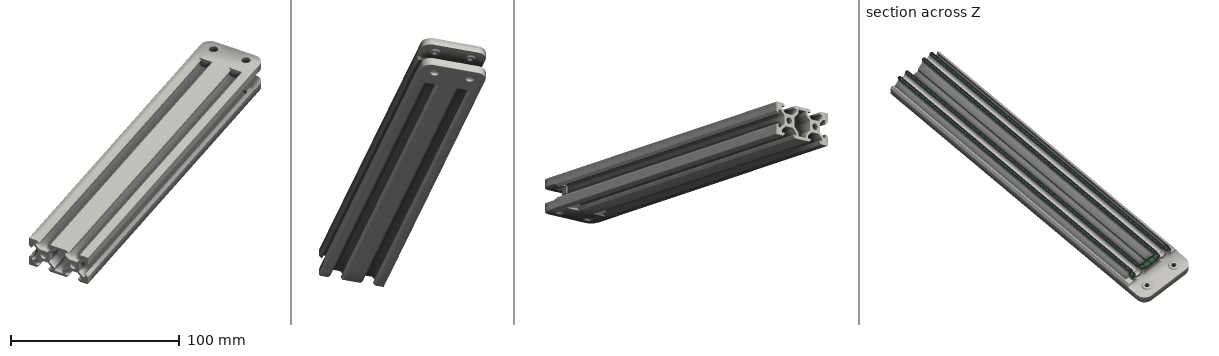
import cadquery as cq

TOTAL_LENGTH = 218.0
WIDTH = 40.0
HEIGHT = 20.0
BRACKET_LENGTH = 18.0
EDGE_FILLET = 0.5
RAIL_LENGTH = TOTAL_LENGTH - BRACKET_LENGTH

SLOT_PITCH = WIDTH / 2
SLOT_MOUTH = 9.2
SLOT_NECK = 6.3
SLOT_LIP = 1.8
SLOT_UNDERCUT = 11.0
SLOT_FLOOR = 5.7
SLOT_DEPTH = 6.0
VEE_DEPTH = (SLOT_MOUTH - SLOT_NECK) / 2
UNDERCUT_DEPTH = SLOT_DEPTH - (SLOT_UNDERCUT - SLOT_FLOOR) / 2

BORE_DIAMETER = 4.1
BORE_X = SLOT_PITCH / 2
CAVITY_WIDTH = 2 * SLOT_DEPTH
CAVITY_NARROW_WIDTH = 5.5
CAVITY_HEIGHT = HEIGHT - 2 * SLOT_LIP
CAVITY_SIDE_HEIGHT = SLOT_FLOOR

CORNER_RADIUS = 6.0
WEB_THICKNESS = 4.0
FORK_GAP = 10.0
FORK_FILLET = 2.0
SIDE_GROOVE_DEPTH = 4.5
RAIL_SCREW_HOLE = 5.2
RAIL_SCREW_HEAD = 9.0
RAIL_SCREW_SEAT_DEPTH = 1.0
PIVOT_X = 11.0
PIVOT_END_DISTANCE = 7.0
PIVOT_HOLE = 3.0
PIVOT_COUNTERBORE = 5.5
PIVOT_COUNTERBORE_DEPTH = 4.0
PIVOT_BOSS = 5.2
PIVOT_BOSS_BASE = 6.5
PIVOT_BOSS_HEIGHT = 0.7

PIVOT_Y = TOTAL_LENGTH - PIVOT_END_DISTANCE
WEB_END_Y = RAIL_LENGTH + WEB_THICKNESS


def extrude_along_y(sketch_points, start_y, length):
    """Closed XZ outline pushed from start_y toward +Y."""
    plane = cq.Workplane("XZ", origin=(0, start_y, 0))
    return plane.polyline(sketch_points).close().extrude(-length)


def y_cylinder(diameter, x, start_y, length):
    return cq.Workplane("XZ", origin=(x, start_y, 0)).circle(diameter / 2).extrude(-length)


def z_cylinder(diameter, x, start_z, length):
    return cq.Workplane("XY", origin=(x, PIVOT_Y, start_z)).circle(diameter / 2).extrude(length)


def mirrored_outline(right_side):
    """Right half of an outline, listed along its side, completed by its mirror image in X."""
    left_side = [(-x, z) for x, z in reversed(right_side)]
    return right_side + left_side


def top_slot(x):
    """Undercut V-slot opening upward, centred at x."""
    top = HEIGHT / 2
    outline = mirrored_outline([
        (SLOT_MOUTH / 2, top),
        (SLOT_NECK / 2, top - VEE_DEPTH),
        (SLOT_NECK / 2, top - SLOT_LIP),
        (SLOT_UNDERCUT / 2, top - SLOT_LIP),
        (SLOT_UNDERCUT / 2, top - UNDERCUT_DEPTH),
        (SLOT_FLOOR / 2, top - SLOT_DEPTH),
    ])
    return extrude_along_y(outline, 0, RAIL_LENGTH).translate((x, 0, 0))


def side_slot():
    """The same V-slot turned to open through the +X side."""
    quarter_turn = top_slot(0).rotate((0, 0, 0), (0, 1, 0), 90)
    return quarter_turn.translate((WIDTH / 2 - HEIGHT / 2, 0, 0))


def central_cavity():
    half_height = CAVITY_HEIGHT / 2
    half_side = CAVITY_SIDE_HEIGHT / 2
    shoulder_z = half_side + (CAVITY_WIDTH - CAVITY_NARROW_WIDTH) / 2
    outline = mirrored_outline([
        (CAVITY_NARROW_WIDTH / 2, half_height),
        (CAVITY_NARROW_WIDTH / 2, shoulder_z),
        (CAVITY_WIDTH / 2, half_side),
        (CAVITY_WIDTH / 2, -half_side),
        (CAVITY_NARROW_WIDTH / 2, -shoulder_z),
        (CAVITY_NARROW_WIDTH / 2, -half_height),
    ])
    return extrude_along_y(outline, 0, RAIL_LENGTH)


def make_rail():
    rail = cq.Workplane("XY").box(WIDTH, RAIL_LENGTH, HEIGHT, centered=(True, False, True))
    rail = rail.edges("|Y").fillet(EDGE_FILLET)
    rail = rail.cut(central_cavity())
    rail = rail.cut(side_slot()).cut(side_slot().mirror("YZ"))
    for x in (-BORE_X, BORE_X):
        rail = rail.cut(top_slot(x)).cut(top_slot(x).mirror("XY"))
        rail = rail.cut(y_cylinder(BORE_DIAMETER, x, 0, RAIL_LENGTH))
    return rail


def fork_opening():
    """Gap between the two plates, rounded where it meets the web."""
    length = TOTAL_LENGTH - WEB_END_Y
    opening = cq.Workplane("XY", origin=(0, WEB_END_Y, 0))
    opening = opening.box(WIDTH, length, FORK_GAP, centered=(True, False, True))
    return opening.edges("|X and <Y").fillet(FORK_FILLET)


def side_groove():
    """V-groove on the +X side that continues the rail slot through the web."""
    side = WIDTH / 2
    outline = [
        (side, SLOT_MOUTH / 2),
        (side - VEE_DEPTH, SLOT_NECK / 2),
        (side - SIDE_GROOVE_DEPTH, SLOT_NECK / 2),
        (side - SIDE_GROOVE_DEPTH, -SLOT_NECK / 2),
        (side - VEE_DEPTH, -SLOT_NECK / 2),
        (side, -SLOT_MOUTH / 2),
    ]
    return extrude_along_y(outline, RAIL_LENGTH, BRACKET_LENGTH)


def rail_screw_hole(x):
    """Clearance hole through the web, with a round head seat cut through the fork fillets."""
    hole = y_cylinder(RAIL_SCREW_HOLE, x, RAIL_LENGTH, WEB_THICKNESS)
    seat_y = WEB_END_Y - RAIL_SCREW_SEAT_DEPTH
    seat = y_cylinder(RAIL_SCREW_HEAD, x, seat_y, RAIL_SCREW_SEAT_DEPTH + FORK_FILLET)
    return hole.union(seat)


def pivot_boss(x):
    """Low tapered pad on the inner face of the upper plate."""
    base = cq.Workplane("XY", origin=(x, PIVOT_Y, FORK_GAP / 2))
    base = base.circle(PIVOT_BOSS_BASE / 2)
    return base.workplane(offset=-PIVOT_BOSS_HEIGHT).circle(PIVOT_BOSS / 2).loft()


def pivot_counterbore(x):
    return z_cylinder(PIVOT_COUNTERBORE, x, HEIGHT / 2 - PIVOT_COUNTERBORE_DEPTH, PIVOT_COUNTERBORE_DEPTH)


def make_bracket():
    bracket = cq.Workplane("XY", origin=(0, RAIL_LENGTH, 0))
    bracket = bracket.box(WIDTH, BRACKET_LENGTH, HEIGHT, centered=(True, False, True))
    bracket = bracket.edges("|Z and >Y").fillet(CORNER_RADIUS)
    bracket = bracket.faces("<Z or >Z").edges("not <Y").fillet(EDGE_FILLET)
    bracket = bracket.cut(fork_opening())
    bracket = bracket.cut(side_groove()).cut(side_groove().mirror("YZ"))
    for x in (-BORE_X, BORE_X):
        bracket = bracket.cut(rail_screw_hole(x))
    for x in (-PIVOT_X, PIVOT_X):
        bracket = bracket.union(pivot_boss(x)).union(pivot_boss(x).mirror("XY"))
        bracket = bracket.cut(pivot_counterbore(x)).cut(pivot_counterbore(x).mirror("XY"))
        bracket = bracket.cut(z_cylinder(PIVOT_HOLE, x, -HEIGHT / 2, HEIGHT))
    return bracket


rail = make_rail()
bracket = make_bracket()
result = cq.Compound.makeCompound([rail.val(), bracket.val()])